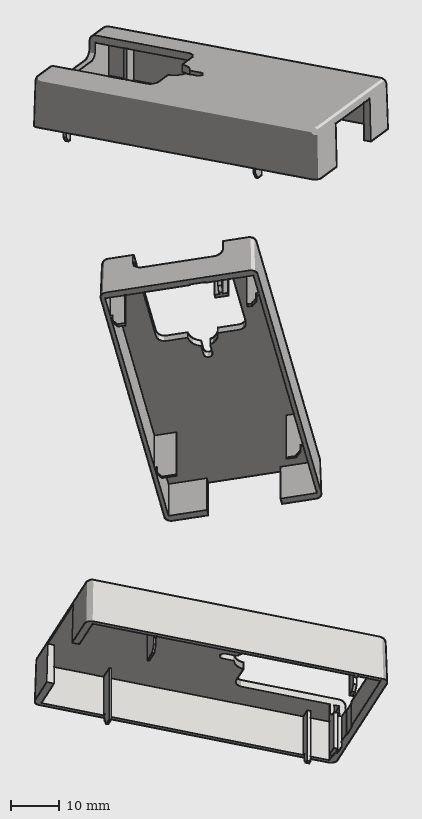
import cadquery as cq
import math

length = 66.65
width = 33.3
height = 11.25
draft_inset = 0.25
edge_radius = 1.45
end_wall = 1.6
side_wall = 0.9
lid = 1.65
cavity_length = length - 2 * end_wall
cavity_width = width - 2 * side_wall
ceiling = height - lid
left_wall_inside = -cavity_length / 2

window_width = 19.05
window_end = -8.3
window_sill = 6.1
window_radius = 1.85

bay_center = -8.5
bay_radius = 3.2
slot_width = 1.85
slot_mouth_radius = 0.45
slot_end = -2.0

port_width = 15.6
port_center = -0.2

groove_width = 3.2
groove_center = -3.85
groove_depth = 0.2

plate_outer = 15.2
plate_chamfer_start = 1.65
plate_chamfer_width = 1.0
plates = [
    (-26.3, 0.7, 12.6, -13.25, 2.9),
    (17.8, 0.45, 11.05, -12.2, 3.1),
]

latch_depth = 2.7
latch_plate_start = -30.5
latch_plate_end = -29.65
latch_plate_low = -10.0
latch_plate_high = -7.2
latch_web_center = -8.6
latch_web_width = 0.8
latch_web_straight = 1.45
latch_web_run = 0.8


def block(x_range, y_range, z_range):
    """Box spanning the three given (low, high) ranges."""
    (x0, x1), (y0, y1), (z0, z1) = x_range, y_range, z_range
    return cq.Workplane("XY").box(x1 - x0, y1 - y0, z1 - z0, centered=False).translate((x0, y0, z0))


def make_shell():
    draft_angle = math.degrees(math.atan(draft_inset / height))
    outside = cq.Workplane("XY").rect(length, width).extrude(height, taper=draft_angle)
    outside = outside.edges("not(|X or |Y)").fillet(edge_radius)
    outside = outside.faces(">Z").edges().fillet(edge_radius)
    cavity = cq.Workplane("XY").rect(cavity_length, cavity_width).extrude(ceiling)
    return outside.cut(cavity)


def make_window():
    half = window_width / 2
    end_cut = block((-length, window_end), (-half, half), (window_sill, height))
    end_cut = end_cut.edges("|Z and >X").fillet(window_radius)
    return end_cut.edges("|X and <Z").fillet(window_radius)


def make_plate(x_center, thickness, inner_end, depth):
    side = math.copysign(1, inner_end)
    outer = side * plate_outer
    profile = [
        (inner_end, ceiling),
        (side * cavity_width / 2, ceiling),
        (side * cavity_width / 2, 0),
        (outer, 0),
        (outer, -plate_chamfer_start),
        (outer - side * plate_chamfer_width, -depth),
        (inner_end, -depth),
    ]
    sheet = cq.Workplane("YZ").polyline(profile).close().extrude(thickness / 2, both=True)
    return sheet.translate((x_center, 0, 0))


def make_bay():
    bay = cq.Workplane("XY").center(bay_center, 0).circle(bay_radius).extrude(height)
    tip_center = slot_end - slot_width / 2
    slot = block((bay_center, tip_center), (-slot_width / 2, slot_width / 2), (0, height))
    tip = cq.Workplane("XY").center(tip_center, 0).circle(slot_width / 2).extrude(height)
    keyhole = bay.union(slot).union(tip)
    mouth_x = bay_center + math.sqrt(bay_radius**2 - (slot_width / 2) ** 2)
    for side in (-1, 1):
        mouth = cq.selectors.NearestToPointSelector((mouth_x, side * slot_width / 2, height / 2))
        keyhole = keyhole.edges("|Z").edges(mouth).fillet(slot_mouth_radius)
    beyond_window = block((window_end, length), (-width, width), (ceiling, height))
    return keyhole.intersect(beyond_window)


def make_port():
    y_range = (port_center - port_width / 2, port_center + port_width / 2)
    return block((cavity_length / 2, length), y_range, (0, ceiling))


def make_groove():
    y_range = (groove_center - groove_width / 2, groove_center + groove_width / 2)
    return block((left_wall_inside - groove_depth, left_wall_inside), y_range, (0, ceiling))


def make_latch():
    plate = block(
        (latch_plate_start, latch_plate_end),
        (latch_plate_low, latch_plate_high),
        (-latch_depth, ceiling),
    )
    web_profile = [
        (left_wall_inside, ceiling),
        (latch_plate_start, ceiling),
        (latch_plate_start, -latch_depth),
        (left_wall_inside + latch_web_run, -latch_depth),
        (left_wall_inside, -latch_web_straight),
    ]
    web = cq.Workplane("XZ").polyline(web_profile).close().extrude(latch_web_width / 2, both=True)
    return plate.union(web.translate((0, latch_web_center, 0)))


result = make_shell().union(make_latch())
for x_center, thickness, plus_end, minus_end, depth in plates:
    for inner_end in (plus_end, minus_end):
        result = result.union(make_plate(x_center, thickness, inner_end, depth))
for opening in (make_window(), make_bay(), make_port(), make_groove()):
    result = result.cut(opening)